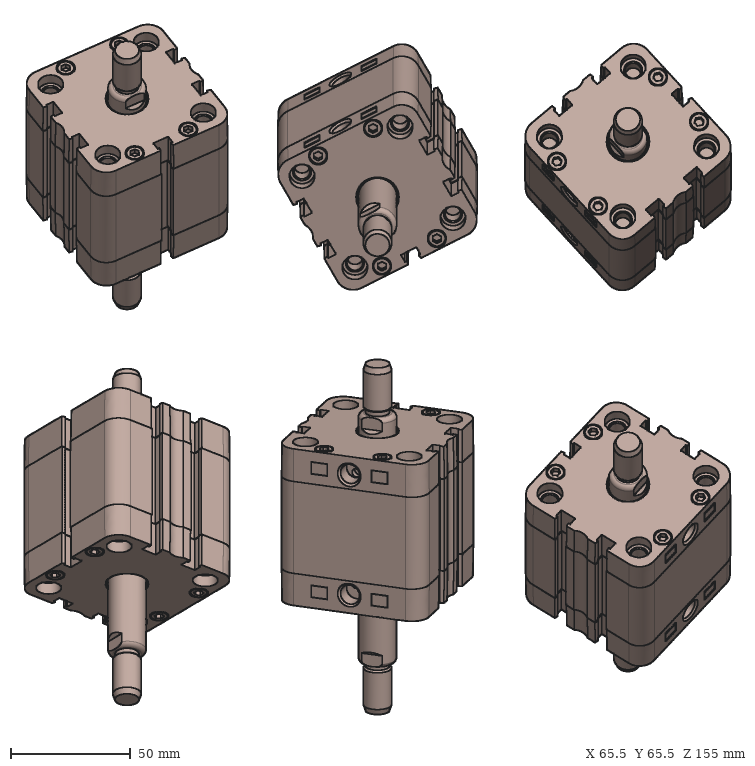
import cadquery as cq
import math


total_length = 155.0
housing_length = 70.0
upper_stick_out = 29.9
lower_stick_out = total_length - housing_length - upper_stick_out
tube_length = 41.0
cap_length = (housing_length - tube_length) / 2

housing_width = 65.5
half_width = housing_width / 2
corner_radius = 7.8
cap_draft = 0.8
bore_diameter = 50.0

slot_offset = 10.5
slot_neck_width = 5.6
slot_wide_width = 6.7
cap_slot_mouth_width = 6.2
cap_slot_wide_width = 7.3
slot_depth = 5.5
slot_lip = 1.9
slot_overshoot = 3.1
groove_width = 7.0
groove_depth = 1.1

rod_diameter = 16.0
thread_diameter = 12.0
thread_length = 19.0
thread_chamfer_length = 2.6
thread_tip_diameter = 10.0
thread_run_out = 0.8
neck_diameter = 10.0
shoulder_distance = 21.7
shoulder_face_diameter = thread_diameter
shoulder_round_length = 1.9
shoulder_round_radius = 2.5
flat_width = 13.0
flat_length = 5.6

opening_rim_diameter = 18.0
opening_diameter = 17.7
opening_chamfer = (opening_rim_diameter - opening_diameter) / 2
opening_depth = 0.8
clearance_diameter = 16.6
clearance_depth = 1.5

mount_offset = 23.2
mount_counterbore_diameter = 10.5
mount_counterbore_depth = 5.1
mount_sink_diameter = 7.8
mount_thread_diameter = 6.7
mount_sink_depth = (mount_sink_diameter - mount_thread_diameter) / 2
mount_depth = 12.4

screw_x = 28.0
screw_y = 13.0
screw_hole_diameter = 7.8
screw_head_diameter = 7.0
screw_ring_depth = 0.6
hex_across_flats = 3.5
hex_across_corners = hex_across_flats / math.cos(math.pi / 6)
hex_depth = 2.3

port_distance = 8.0
port_rim_diameter = 10.5
port_diameter = 8.5
port_chamfer = (port_rim_diameter - port_diameter) / 2
port_depth = 8.0
channel_diameter = 3.5
channel_offset = 2.0
channel_length = 3.1

label_offset = 13.5
label_distance = 7.5
label_width = 7.1
label_height = 5.3
label_depth = 0.5


def slot_cutter(offset, angle, length, mouth_width, wide_width):
    """T slot opening towards +Y at x = offset, turned about Z by angle."""
    mouth = mouth_width / 2
    neck = slot_neck_width / 2
    wide = wide_width / 2
    outside = half_width + slot_overshoot
    lip = half_width - slot_lip
    floor = half_width - slot_depth
    outline = [(-mouth, outside), (-mouth, half_width), (-neck, lip), (-wide, lip), (-wide, floor),
               (wide, floor), (wide, lip), (neck, lip), (mouth, half_width), (mouth, outside)]
    cutter = cq.Workplane("XY").polyline(outline).close().extrude(length)
    return cutter.translate((offset, 0, 0)).rotate((0, 0, 0), (0, 0, 1), angle)


def groove_cutter(side, length, draft):
    """Round groove along Z in the middle of the +Y (side = 1) or -Y (side = -1) face."""
    radius = ((groove_width / 2) ** 2 + groove_depth ** 2) / (2 * groove_depth)
    center_y = side * (half_width - groove_depth + radius)
    return cq.Workplane("XY").center(0, center_y).circle(radius).extrude(length, taper=-draft)


def profile_block(length, draft, mouth_width, wide_width):
    """Slotted housing profile from Z = 0 up to length, narrowing upwards by the draft angle."""
    outline = cq.Sketch().rect(housing_width, housing_width).vertices().fillet(corner_radius)
    block = cq.Workplane("XY").placeSketch(outline).extrude(length, taper=draft)
    for side, angle in ((1, 0), (-1, 180)):
        for offset in (-slot_offset, slot_offset):
            block = block.cut(slot_cutter(offset, angle, length, mouth_width, wide_width))
        block = block.cut(groove_cutter(side, length, draft))
    return block.cut(slot_cutter(0, -90, length, mouth_width, wide_width))


def turned(profile):
    """Solid of revolution about Z from (radius, z) points, closed along the axis."""
    return cq.Workplane("XZ").polyline(profile).close().revolve(360, (0, 0, 0), (0, 1, 0))


def rod_opening():
    """Rod bore through the cap, widened in two steps and chamfered at the end face."""
    bore = rod_diameter / 2
    clearance = clearance_diameter / 2
    clearance_floor = cap_length - clearance_depth
    opening = opening_diameter / 2
    opening_floor = cap_length - opening_depth
    return turned([(0, 0), (bore, 0), (bore, clearance_floor), (clearance, clearance_floor),
                   (clearance, opening_floor), (opening, opening_floor),
                   (opening, cap_length - opening_chamfer),
                   (opening_rim_diameter / 2, cap_length), (0, cap_length)])


def mount_hole():
    """Counterbored, countersunk blind hole in the cap's end face."""
    counterbore_floor = cap_length - mount_counterbore_depth
    counterbore = mount_counterbore_diameter / 2
    thread = mount_thread_diameter / 2
    bottom = cap_length - mount_depth
    return turned([(0, bottom), (thread, bottom), (thread, counterbore_floor - mount_sink_depth),
                   (mount_sink_diameter / 2, counterbore_floor), (counterbore, counterbore_floor),
                   (counterbore, cap_length), (0, cap_length)])


def screw_ring():
    """Ring groove around a screw head."""
    return (cq.Workplane("XY", origin=(0, 0, cap_length))
            .circle(screw_hole_diameter / 2).circle(screw_head_diameter / 2).extrude(-screw_ring_depth))


def screw_socket():
    """Hexagon socket with two corners on the Y axis."""
    return (cq.Workplane("XY", origin=(0, 0, cap_length))
            .polygon(6, hex_across_corners).extrude(-hex_depth)
            .rotate((0, 0, 0), (0, 0, 1), 30))


def side_plane(y, z):
    """Workplane on the -X side whose normal points into the housing."""
    return cq.Workplane(cq.Plane(origin=(-half_width, y, z), xDir=(0, -1, 0), normal=(1, 0, 0)))


def air_port():
    """Chamfered port with the smaller air channel in its floor."""
    axis_z = cap_length - port_distance
    hole = side_plane(0, axis_z).circle(port_diameter / 2).extrude(port_depth)
    rim = cq.Workplane(obj=cq.Solid.makeCone(
        port_rim_diameter / 2, port_diameter / 2, port_chamfer,
        pnt=cq.Vector(-half_width, 0, axis_z), dir=cq.Vector(1, 0, 0)))
    channel = (side_plane(0, axis_z - channel_offset)
               .circle(channel_diameter / 2).extrude(port_depth + channel_length))
    return hole.union(rim).union(channel)


def label_recess(side):
    """Shallow rectangle beside the port, towards +Y (side = 1) or -Y (side = -1)."""
    return (side_plane(side * label_offset, cap_length - label_distance)
            .rect(label_width, label_height).extrude(label_depth))


def make_cap():
    """End cap with its seam at Z = 0 and its end face at Z = cap_length."""
    cap = profile_block(cap_length, cap_draft, cap_slot_mouth_width, cap_slot_wide_width)
    cap = cap.cut(rod_opening()).cut(air_port())
    for side_x in (-1, 1):
        for side_y in (-1, 1):
            mount_place = (side_x * mount_offset, side_y * mount_offset, 0)
            screw_place = (side_x * screw_x, side_y * screw_y, 0)
            cap = cap.cut(mount_hole().translate(mount_place))
            cap = cap.cut(screw_ring().translate(screw_place))
            cap = cap.cut(screw_socket().translate(screw_place))
    for side in (-1, 1):
        cap = cap.cut(label_recess(side))
    return cap


def make_tube():
    """Cylinder barrel between the caps."""
    bore = cq.Workplane("XY").circle(bore_diameter / 2).extrude(tube_length)
    barrel = profile_block(tube_length, 0, slot_neck_width, slot_wide_width)
    return barrel.cut(bore).translate((0, 0, cap_length))


def rod_half(tip_z):
    """Half of the rod from Z = 0 up to its threaded tip at tip_z, with wrench flats."""
    rod = rod_diameter / 2
    thread = thread_diameter / 2
    neck = neck_diameter / 2
    shoulder_z = tip_z - shoulder_distance
    thread_end = tip_z - thread_length
    shoulder_face = shoulder_face_diameter / 2
    half = (cq.Workplane("XZ").lineTo(rod, 0).lineTo(rod, shoulder_z - shoulder_round_length)
            .radiusArc((shoulder_face, shoulder_z), -shoulder_round_radius)
            .lineTo(neck, shoulder_z)
            .lineTo(neck, thread_end - thread_run_out)
            .lineTo(thread, thread_end)
            .lineTo(thread, tip_z - thread_chamfer_length)
            .lineTo(thread_tip_diameter / 2, tip_z)
            .lineTo(0, tip_z)
            .close().revolve(360, (0, 0, 0), (0, 1, 0)))
    flat_end = shoulder_z - flat_length
    slope = rod - flat_width / 2
    wedge = [(flat_width / 2, shoulder_z), (flat_width / 2, flat_end),
             (rod, flat_end - slope), (rod, shoulder_z)]
    flat = cq.Workplane("XZ").polyline(wedge).close().extrude(rod, both=True)
    return half.cut(flat).cut(flat.mirror("YZ"))


def make_rod():
    middle = housing_length / 2
    upper = rod_half(middle + upper_stick_out)
    lower = rod_half(middle + lower_stick_out).mirror("XY")
    return upper.union(lower).translate((0, 0, middle))


tube = make_tube()
upper_cap = make_cap().translate((0, 0, housing_length - cap_length))
lower_cap = upper_cap.mirror("XY", (0, 0, housing_length / 2))
rod = make_rod()

result = cq.Compound.makeCompound([tube.val(), upper_cap.val(), lower_cap.val(), rod.val()])